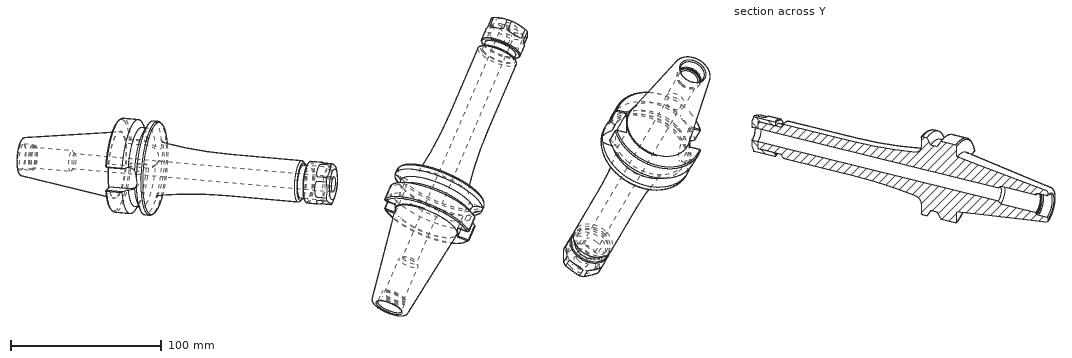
import cadquery as cq
import math

TOTAL_LENGTH = 215.5

GAUGE_RADIUS = 44.4 / 2
TAPER_LENGTH = 65.3
TAPER_SLOPE = 7 / 48
SMALL_END_RADIUS = GAUGE_RADIUS - TAPER_LENGTH * TAPER_SLOPE
SMALL_END_FILLET = 2.0

FLANGE_RADIUS = 63.0 / 2
FLANGE_START = 66.3
FLANGE_END = 92.5
FLANGE_ROOT_FILLET = 0.5
FLANGE_CHAMFER = 0.9
REAR_BEVEL_LENGTH = 1.0
REAR_BEVEL_DROP = 0.6
GROOVE_RADIUS = 53.0 / 2
GROOVE_FLOOR_START = 80.8
GROOVE_FLOOR_END = 85.3
GROOVE_SLOPE_ANGLE = 30
GROOVE_SLOPE_LENGTH = (FLANGE_RADIUS - GROOVE_RADIUS) * math.tan(math.radians(GROOVE_SLOPE_ANGLE))

SLOT_WIDTH = 16.0
SLOT_FLOOR = 22.5
SLOT_END = 88.5
SLOT_CHAMFER = 0.6

SHANK_RADIUS = 27.8 / 2
FLARE_END = 142.2
FLARE_ARC_RADIUS = 280.0
FLARE_FILLET = 5.4
SHANK_END = 193.6
SHANK_CHAMFER = 1.3

STUD_RADIUS = 22.2 / 2
STUD_END = 211.0

MOUTH_RADIUS = 18.7 / 2
SOCKET_RADIUS = 17.0 / 2
SOCKET_TAPER_START = 7.1
SEAT_RADIUS = 16.4 / 2
SEAT_START = 8.0
SEAT_END = 8.8
THREAD_RADIUS = 13.8 / 2
THREAD_DEPTH = 34.5
BORE_RADIUS = 10.1 / 2

NUT_RADIUS = 28.0 / 2
NUT_START = 198.0
NUT_CHAMFER = 0.6
NUT_FACE_RADIUS = 20.5 / 2
NUT_BEVEL_LENGTH = 1.3
NUT_FLAT_COUNT = 6
NUT_FLAT_DISTANCE = 25.6 / 2
NUT_FLAT_START = 206.4
NUT_FLAT_FILLET = 1.5

EDGE_MARGIN = 0.1
RIM_MARGIN = 0.2
CUTTER_MARGIN = 2.2


def flare_radius(x):
    """Radius of the flared root, an arc that meets the shank tangentially."""
    rise = math.sqrt(FLARE_ARC_RADIUS**2 - (FLARE_END - x) ** 2)
    return SHANK_RADIUS + FLARE_ARC_RADIUS - rise


def revolve_profile(profile):
    """Turn a profile, drawn as (x, radius), about the X axis."""
    return profile.close().revolve(360, (0, 0, 0), (1, 0, 0))


def ring_edges(x, radius):
    """Selector for the circular edges up to the given radius in the plane at x."""
    reach = radius + EDGE_MARGIN
    return cq.selectors.BoxSelector(
        (x - EDGE_MARGIN, -reach, -reach), (x + EDGE_MARGIN, reach, reach), boundingbox=True
    )


def turned_body():
    """Taper, flange, shank and stud as one turned solid."""
    flare_middle = (FLANGE_END + FLARE_END) / 2
    profile = (
        cq.Workplane("XY")
        .moveTo(0, 0)
        .lineTo(0, SMALL_END_RADIUS)
        .lineTo(TAPER_LENGTH, GAUGE_RADIUS)
        .lineTo(FLANGE_START, GAUGE_RADIUS)
        .lineTo(FLANGE_START, FLANGE_RADIUS - FLANGE_CHAMFER)
        .lineTo(FLANGE_START + FLANGE_CHAMFER, FLANGE_RADIUS)
        .lineTo(GROOVE_FLOOR_START - GROOVE_SLOPE_LENGTH, FLANGE_RADIUS)
        .lineTo(GROOVE_FLOOR_START, GROOVE_RADIUS)
        .lineTo(GROOVE_FLOOR_END, GROOVE_RADIUS)
        .lineTo(GROOVE_FLOOR_END + GROOVE_SLOPE_LENGTH, FLANGE_RADIUS)
        .lineTo(FLANGE_END - REAR_BEVEL_LENGTH, FLANGE_RADIUS)
        .lineTo(FLANGE_END, FLANGE_RADIUS - REAR_BEVEL_DROP)
        .lineTo(FLANGE_END, flare_radius(FLANGE_END))
        .threePointArc((flare_middle, flare_radius(flare_middle)), (FLARE_END, SHANK_RADIUS))
        .lineTo(SHANK_END - SHANK_CHAMFER, SHANK_RADIUS)
        .lineTo(SHANK_END, SHANK_RADIUS - SHANK_CHAMFER)
        .lineTo(SHANK_END, STUD_RADIUS)
        .lineTo(STUD_END, STUD_RADIUS)
        .lineTo(STUD_END, 0)
    )
    body = revolve_profile(profile)
    body = body.edges(ring_edges(0, SMALL_END_RADIUS)).fillet(SMALL_END_FILLET)
    body = body.edges(ring_edges(FLANGE_START, GAUGE_RADIUS)).fillet(FLANGE_ROOT_FILLET)
    return body.edges(ring_edges(FLANGE_END, flare_radius(FLANGE_END))).fillet(FLARE_FILLET)


def drive_slot(side):
    """Cutter for one slot, round at its closed end; side is -1 or +1 along Y."""
    half_width = SLOT_WIDTH / 2
    arc_center = SLOT_END - half_width
    depth = FLANGE_RADIUS - SLOT_FLOOR
    return (
        cq.Workplane("XZ", origin=(0, side * SLOT_FLOOR, 0))
        .moveTo(FLANGE_START, -half_width)
        .lineTo(arc_center, -half_width)
        .threePointArc((SLOT_END, 0), (arc_center, half_width))
        .lineTo(FLANGE_START, half_width)
        .close()
        .extrude(-side * depth)
    )


def slot_rims():
    """Selector for the slot edges on the front face and on the front rim of the flange."""
    half = SLOT_WIDTH / 2 + RIM_MARGIN
    rim_end = GROOVE_FLOOR_START - GROOVE_SLOPE_LENGTH + RIM_MARGIN
    selectors = [
        cq.selectors.BoxSelector(
            (FLANGE_START - RIM_MARGIN, side * (SLOT_FLOOR + RIM_MARGIN), -half),
            (rim_end, side * FLANGE_RADIUS, half),
        )
        for side in (-1, 1)
    ]
    return selectors[0] + selectors[1]


def bore():
    """Cutter for the stepped bore along the whole holder."""
    profile = (
        cq.Workplane("XY")
        .moveTo(0, 0)
        .lineTo(0, MOUTH_RADIUS)
        .lineTo(MOUTH_RADIUS - SOCKET_RADIUS, SOCKET_RADIUS)
        .lineTo(SOCKET_TAPER_START, SOCKET_RADIUS)
        .lineTo(SEAT_START, SEAT_RADIUS)
        .lineTo(SEAT_END, SEAT_RADIUS)
        .lineTo(SEAT_END, THREAD_RADIUS)
        .lineTo(THREAD_DEPTH, THREAD_RADIUS)
        .lineTo(THREAD_DEPTH + THREAD_RADIUS - BORE_RADIUS, BORE_RADIUS)
        .lineTo(STUD_END, BORE_RADIUS)
        .lineTo(STUD_END, 0)
    )
    return revolve_profile(profile)


def make_holder():
    body = turned_body().cut(bore())
    for side in (-1, 1):
        body = body.cut(drive_slot(side))
    return body.edges(slot_rims()).chamfer(SLOT_CHAMFER)


def nut_flat(angle):
    """Cutter for one flat, with a fillet at its root, turned to the given angle."""
    top = NUT_RADIUS + CUTTER_MARGIN
    cutter = (
        cq.Workplane("XY")
        .moveTo(TOTAL_LENGTH, NUT_FLAT_DISTANCE)
        .lineTo(NUT_FLAT_START + NUT_FLAT_FILLET, NUT_FLAT_DISTANCE)
        .radiusArc((NUT_FLAT_START, NUT_FLAT_DISTANCE + NUT_FLAT_FILLET), NUT_FLAT_FILLET)
        .lineTo(NUT_FLAT_START, top)
        .lineTo(TOTAL_LENGTH, top)
        .close()
        .extrude(NUT_RADIUS, both=True)
    )
    return cutter.rotate((0, 0, 0), (1, 0, 0), angle)


def make_nut():
    """Nut that fits over the stud, with a front wall and six flats."""
    profile = (
        cq.Workplane("XY")
        .moveTo(NUT_START, STUD_RADIUS)
        .lineTo(NUT_START, NUT_RADIUS - NUT_CHAMFER)
        .lineTo(NUT_START + NUT_CHAMFER, NUT_RADIUS)
        .lineTo(TOTAL_LENGTH - NUT_BEVEL_LENGTH, NUT_RADIUS)
        .lineTo(TOTAL_LENGTH, NUT_FACE_RADIUS)
        .lineTo(TOTAL_LENGTH, BORE_RADIUS)
        .lineTo(STUD_END, BORE_RADIUS)
        .lineTo(STUD_END, STUD_RADIUS)
    )
    nut = revolve_profile(profile)
    for index in range(NUT_FLAT_COUNT):
        nut = nut.cut(nut_flat(index * 360 / NUT_FLAT_COUNT))
    return nut


holder = make_holder()
nut = make_nut()
result = cq.Compound.makeCompound([holder.val(), nut.val()])